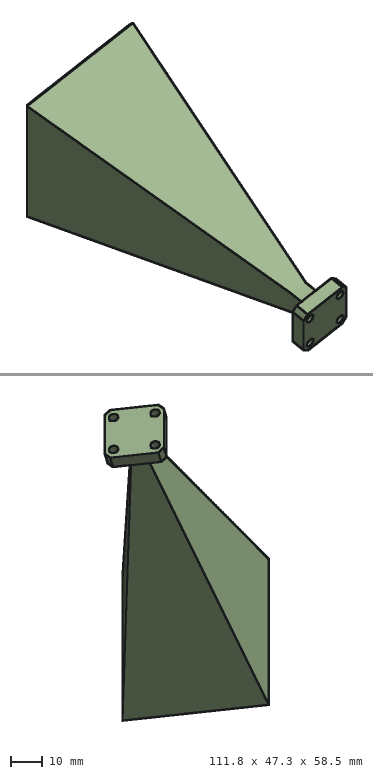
import cadquery as cq

length = 111.8
mouth_width = 47.3
mouth_height = 58.5

bevel_depth = 0.6
bevel_side = 0.6

neck_length = 6.9
neck_width = 6.4
neck_height = 9.8

flange_size = 19.1
flange_thickness = 5.0
corner_cut = 1.8
hole_diameter = 2.9
hole_spacing_y = 13.4
hole_spacing_z = 12.7

flange_start = length - flange_thickness
neck_start = flange_start - neck_length


def tapered_block(start, end, start_size, end_size):
    """Loft between two centred rectangles, each given as (width, height)."""
    return (
        cq.Workplane("YZ", origin=(start, 0, 0))
        .rect(*start_size)
        .workplane(offset=end - start)
        .rect(*end_size)
        .loft(ruled=True)
    )


def make_flange():
    """Square plate with beveled corner edges and through bolt holes."""
    return (
        cq.Workplane("YZ", origin=(flange_start, 0, 0))
        .rect(flange_size, flange_size)
        .extrude(flange_thickness)
        .edges("|X")
        .chamfer(corner_cut)
        .faces(">X")
        .workplane(origin=(length, 0, 0))
        .rect(hole_spacing_y, hole_spacing_z, forConstruction=True)
        .vertices()
        .hole(hole_diameter)
    )


mouth_size = (mouth_width, mouth_height)
mouth_face_size = (mouth_width - 2 * bevel_side, mouth_height - 2 * bevel_side)
neck_size = (neck_width, neck_height)

mouth_bevel = tapered_block(0, bevel_depth, mouth_face_size, mouth_size)
flare = tapered_block(bevel_depth, neck_start, mouth_size, neck_size)
neck = tapered_block(neck_start, flange_start, neck_size, neck_size)

result = mouth_bevel.union(flare).union(neck).union(make_flange())